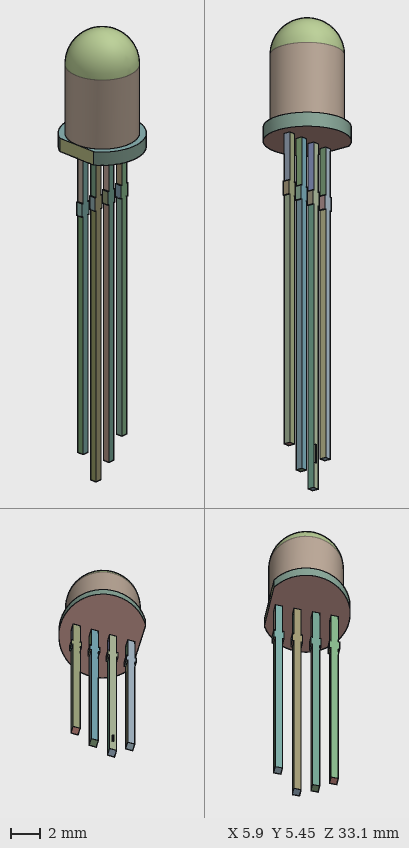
import cadquery as cq

lens_diameter = 5.0
lens_radius = lens_diameter / 2
flange_diameter = 5.9
flange_radius = flange_diameter / 2
overall_depth = 5.45
flat_distance = overall_depth - flange_radius
flange_height = 1.0

overall_height = 33.1
lead_width = 0.5
lead_row_span = 3.8
lead_lengths = [22.0, 24.5, 23.5, 22.0]
lead_pitch = lead_row_span / (len(lead_lengths) - 1)
collar_width = 0.7
collar_height = 1.0
collar_drop = 3.4

slit_width = 0.1
slit_length = 1.3
slit_depth = 0.1
slit_drop = 21.38

dome_base = overall_height - max(lead_lengths) - lens_radius


def make_lens():
    """Revolve the cylinder and its hemispherical dome about Z."""
    dome_rise = lens_radius * 0.5**0.5
    return (
        cq.Workplane("XZ")
        .lineTo(lens_radius, 0)
        .lineTo(lens_radius, dome_base)
        .threePointArc((dome_rise, dome_base + dome_rise), (0, dome_base + lens_radius))
        .close()
        .revolve(360, (0, 0), (0, 1))
    )


def make_flange():
    """Round flange cut off flat on the -Y side."""
    disc = cq.Workplane("XY").circle(flange_radius).extrude(flange_height)
    keep = (
        cq.Workplane("XY")
        .center(0, overall_depth / 2 - flat_distance)
        .rect(flange_diameter, overall_depth)
        .extrude(flange_height)
    )
    return disc.intersect(keep)


def make_lead(y, length):
    """Square lead hanging below the flange, widened along Y at the collar."""
    lead = cq.Workplane("XY").center(0, y).rect(lead_width, lead_width).extrude(-length)
    collar = (
        cq.Workplane("XY", origin=(0, y, -collar_drop))
        .rect(lead_width, collar_width)
        .extrude(-collar_height)
    )
    return lead.union(collar)


def make_slit(y):
    """Cutter for the slit, half of it standing clear of the lead's -X face."""
    return (
        cq.Workplane("XY", origin=(-lead_width / 2, y, -slit_drop))
        .rect(2 * slit_depth, slit_width)
        .extrude(-slit_length)
    )


result = make_lens().union(make_flange())
for index, length in enumerate(lead_lengths):
    lead_y = index * lead_pitch - lead_row_span / 2
    lead = make_lead(lead_y, length)
    if length == max(lead_lengths):
        lead = lead.cut(make_slit(lead_y))
    result = result.union(lead)